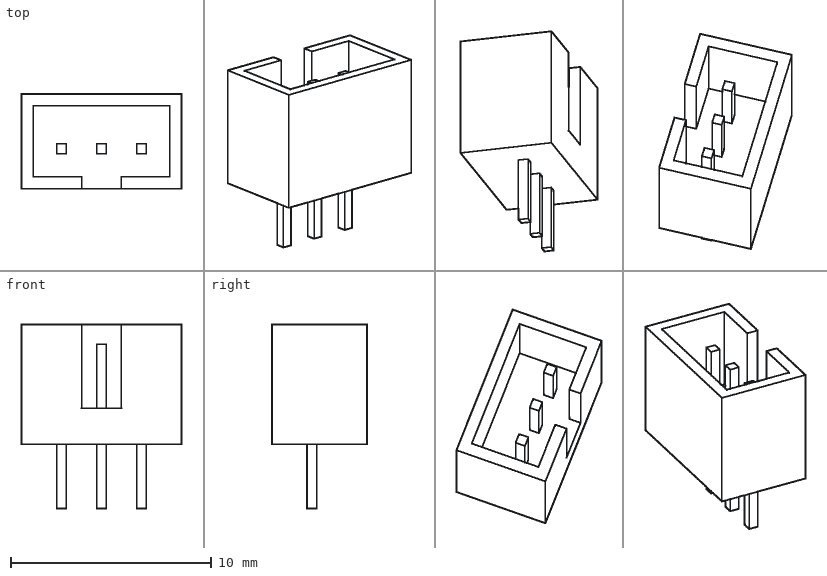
import cadquery as cq

length = 8.0
depth = 4.75
overall_height = 9.2
pin_tail = 3.2
housing_height = overall_height - pin_tail
wall = 0.6
floor_thickness = 1.8

slot_width = 2.0

pin_count = 3
pin_pitch = 2.0
pin_size = 0.5
pin_top_recess = 1.0
pin_row_from_front = 2.0


def block(size_x, size_y, bottom, top, center_y=0.0, center_x=0.0):
    """Upright block between two heights, centred at the given X and Y."""
    return (
        cq.Workplane("XY", origin=(center_x, center_y, bottom))
        .rect(size_x, size_y)
        .extrude(top - bottom)
    )


def make_housing():
    shell = block(length, depth, 0, housing_height)
    cavity = block(length - 2 * wall, depth - 2 * wall, floor_thickness, housing_height)
    slot_center_y = (wall - depth) / 2
    slot = block(slot_width, wall, floor_thickness, housing_height, slot_center_y)
    return shell.cut(cavity).cut(slot)


def make_pin(center_x):
    row_y = pin_row_from_front - depth / 2
    pin_top = housing_height - pin_top_recess
    return block(pin_size, pin_size, -pin_tail, pin_top, row_y, center_x)


result = make_housing()
for index in range(pin_count):
    result = result.union(make_pin((index - (pin_count - 1) / 2) * pin_pitch))